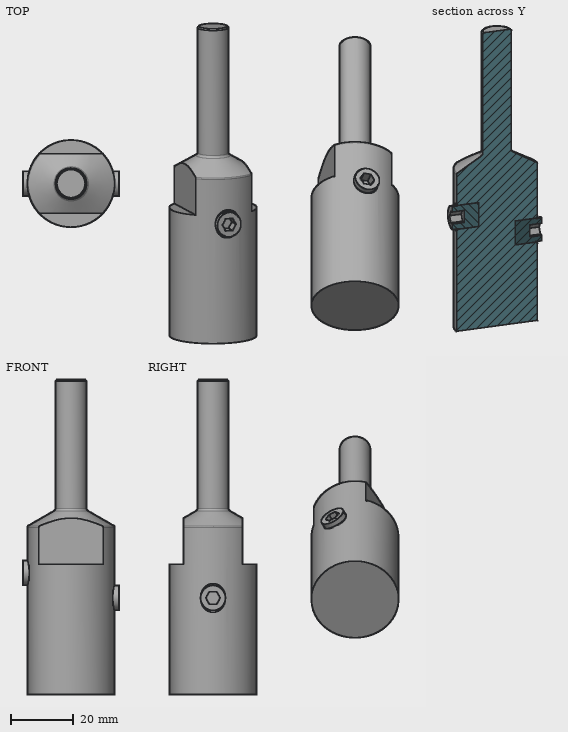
import cadquery as cq
import math

total_height = 101.0
body_radius = 14.0
rod_radius = 5.0
rod_tip_chamfer = 0.5
shoulder_height = 54.0
cone_slope = math.radians(30)
neck_fillet = 1.0
shoulder_fillet = 0.5

flat_distance = 19.0
flat_bottom = 41.8

screw_diameter = 8.0
screw_outer_x = 15.4
screw_length = 9.0
left_screw_z = 39.0
right_screw_z = 31.0
hex_across_flats = 4.0
hex_depth = 4.0
countersink_diameter = 9.2
countersink_depth = (countersink_diameter - screw_diameter) / 2

screw_positions = [(-1, left_screw_z), (1, right_screw_z)]


def screw_frame(side, height, x):
    """Plane across a screw axis at distance x from the Z axis, normal pointing outwards."""
    return cq.Workplane(cq.Plane(origin=(side * x, 0, height), xDir=(0, 1, 0), normal=(side, 0, 0)))


def level_edges(height):
    """Selector for the edges of the turned blank that lie at the given height."""
    reach = 2 * body_radius
    return cq.selectors.BoxSelector(
        (-reach, -reach, height - neck_fillet),
        (reach, reach, height + neck_fillet),
        boundingbox=True,
    )


def make_turned_blank():
    neck_height = shoulder_height + (body_radius - rod_radius) * math.tan(cone_slope)
    blank = (
        cq.Workplane("XZ")
        .moveTo(0, 0)
        .lineTo(body_radius, 0)
        .lineTo(body_radius, shoulder_height)
        .lineTo(rod_radius, neck_height)
        .lineTo(rod_radius, total_height)
        .lineTo(0, total_height)
        .close()
        .revolve(360, (0, 0, 0), (0, 1, 0))
    )
    blank = blank.edges(level_edges(neck_height)).fillet(neck_fillet)
    blank = blank.edges(level_edges(shoulder_height)).fillet(shoulder_fillet)
    return blank.faces(">Z").edges().chamfer(rod_tip_chamfer)


def cut_wrench_flats(housing):
    cut_width = body_radius
    for side in (-1, 1):
        cutter = (
            cq.Workplane("XY", origin=(0, side * (flat_distance + cut_width) / 2, flat_bottom))
            .rect(2 * body_radius, cut_width)
            .extrude(total_height - flat_bottom)
        )
        housing = housing.cut(cutter)
    return housing


def cut_screw_holes(housing):
    for side, height in screw_positions:
        hole_end = screw_outer_x - screw_length
        hole = screw_frame(side, height, hole_end).circle(screw_diameter / 2).extrude(screw_length)
        countersink = (
            screw_frame(side, height, body_radius)
            .circle(countersink_diameter / 2)
            .workplane(offset=-countersink_depth)
            .circle(screw_diameter / 2)
            .loft()
        )
        housing = housing.cut(hole).cut(countersink)
    return housing


def make_screw(side, height):
    hex_corner_diameter = hex_across_flats / math.cos(math.pi / 6)
    screw = screw_frame(side, height, screw_outer_x - screw_length)
    screw = screw.circle(screw_diameter / 2).extrude(screw_length)
    socket = (
        screw_frame(side, height, screw_outer_x - hex_depth)
        .polygon(6, hex_corner_diameter)
        .extrude(hex_depth)
    )
    return screw.cut(socket)


housing = cut_screw_holes(cut_wrench_flats(make_turned_blank()))
screws = [make_screw(side, height) for side, height in screw_positions]

result = cq.Compound.makeCompound([housing.val(), *[screw.val() for screw in screws]])